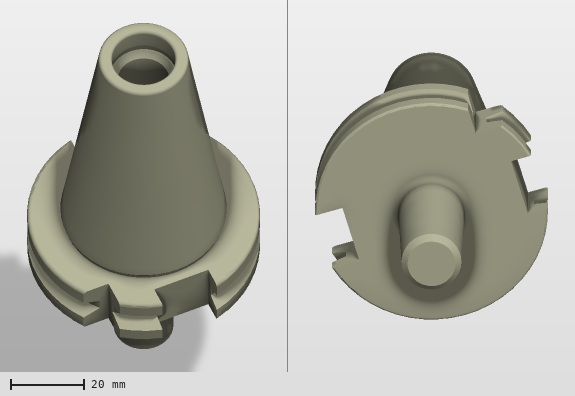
import cadquery as cq
import math

total_height = 125.4
flange_bottom = 38.1
flange_top = 54.0
gauge_height = 55.8

gauge_radius = 22.7
taper_end_radius = 12.2
taper_end_round = 1.0

neck_radius = 22.2
neck_top = 55.0

flange_radius = 31.79
flange_top_round = 1.1
flange_bottom_round = 0.6
groove_center = 45.9
groove_floor_radius = 28.0
groove_floor_half_width = 1.6
groove_mouth_half_width = 3.4

slot_width = 16.2
left_slot_floor = 23.0
right_slot_floor = 25.1
notch_x = 18.2
notch_y = 18.7

shank_root_radius = 9.0
shank_end_radius = 8.2
shank_root_fillet = 1.9
shank_chamfer = 1.6

counterbore_radius = 8.7
mouth_round = 0.9
relief_radius = 9.0
relief_top_depth = 6.1
relief_bottom_depth = 8.3
seat_radius = 7.0
seat_depth = relief_bottom_depth + (counterbore_radius - seat_radius)
bore_depth = 35.1
drill_tip_angle = 120
drill_tip_height = seat_radius / math.tan(math.radians(drill_tip_angle / 2))


def revolve_profile(profile):
    """Turn a closed (radius, height) profile about the Z axis."""
    return profile.close().revolve(360, (0, 0, 0), (0, 1, 0))


def make_shank():
    root_height = flange_bottom - shank_root_fillet
    fillet_middle = shank_root_fillet * (1 - math.sqrt(0.5))
    profile = (
        cq.Workplane("XZ")
        .lineTo(shank_end_radius - shank_chamfer, 0)
        .lineTo(shank_end_radius, shank_chamfer)
        .lineTo(shank_root_radius, root_height)
        .threePointArc(
            (shank_root_radius + fillet_middle, flange_bottom - fillet_middle),
            (shank_root_radius + shank_root_fillet, flange_bottom),
        )
        .lineTo(0, flange_bottom)
    )
    return revolve_profile(profile)


def make_flange():
    disc = (
        cq.Workplane("XY", origin=(0, 0, flange_bottom))
        .circle(flange_radius)
        .extrude(flange_top - flange_bottom)
        .faces(">Z").edges().fillet(flange_top_round)
        .faces("<Z").edges().fillet(flange_bottom_round)
    )
    groove = (
        cq.Workplane("XZ")
        .moveTo(flange_radius, groove_center - groove_mouth_half_width)
        .lineTo(groove_floor_radius, groove_center - groove_floor_half_width)
        .lineTo(groove_floor_radius, groove_center + groove_floor_half_width)
        .lineTo(flange_radius, groove_center + groove_mouth_half_width)
    )
    return disc.cut(revolve_profile(groove))


def flange_cutter(x_min, x_max, y_min, y_max):
    """Block through the full flange thickness."""
    return cq.Workplane("XY").box(
        x_max - x_min, y_max - y_min, flange_top - flange_bottom, centered=False
    ).translate((x_min, y_min, flange_bottom))


def cut_slots(flange):
    half_slot = slot_width / 2
    left_slot = flange_cutter(-flange_radius, -left_slot_floor, -half_slot, half_slot)
    right_slot = flange_cutter(right_slot_floor, flange_radius, -half_slot, half_slot)
    notch = flange_cutter(notch_x, flange_radius, -flange_radius, -notch_y)
    return flange.cut(left_slot).cut(right_slot).cut(notch)


def make_taper():
    profile = (
        cq.Workplane("XZ")
        .moveTo(0, flange_top)
        .lineTo(neck_radius, flange_top)
        .lineTo(neck_radius, neck_top)
        .lineTo(gauge_radius, gauge_height)
        .lineTo(taper_end_radius, total_height)
        .lineTo(0, total_height)
    )
    return revolve_profile(profile).faces(">Z").edges().fillet(taper_end_round)


def make_bore():
    """Rounded mouth, relieved counterbore, conical seat and drilled blind hole."""
    round_middle = mouth_round * (1 - math.sqrt(0.5))
    profile = (
        cq.Workplane("XZ")
        .moveTo(0, total_height)
        .lineTo(counterbore_radius + mouth_round, total_height)
        .threePointArc(
            (counterbore_radius + round_middle, total_height - round_middle),
            (counterbore_radius, total_height - mouth_round),
        )
        .lineTo(counterbore_radius, total_height - relief_top_depth)
        .lineTo(relief_radius, total_height - relief_top_depth)
        .lineTo(relief_radius, total_height - relief_bottom_depth)
        .lineTo(counterbore_radius, total_height - relief_bottom_depth)
        .lineTo(seat_radius, total_height - seat_depth)
        .lineTo(seat_radius, total_height - bore_depth)
        .lineTo(0, total_height - bore_depth - drill_tip_height)
    )
    return revolve_profile(profile)


flange = cut_slots(make_flange())
result = make_shank().union(flange).union(make_taper()).cut(make_bore())